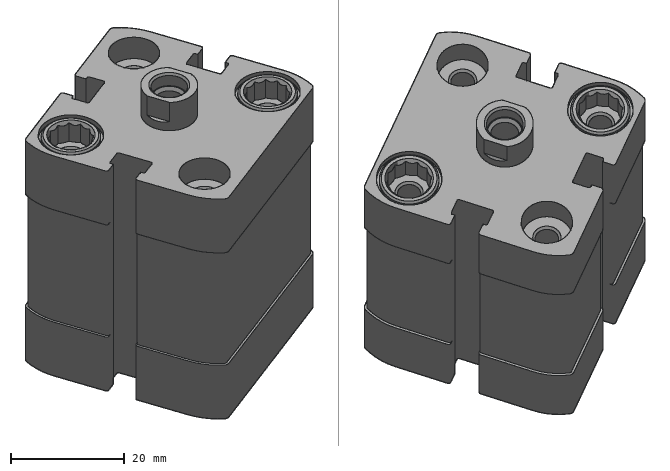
import cadquery as cq
import math

HOUSING_WIDTH = 39.5
HOUSING_HEIGHT = 49.0
HALF_WIDTH = HOUSING_WIDTH / 2
CAP_HEIGHT = 12.0
BARREL_INSET = 0.45
BARREL_HEIGHT = HOUSING_HEIGHT - 2 * CAP_HEIGHT
BORE_OFFSET = 13.0
CORNER_ARC_RADIUS = 12.5
CORNER_ARC_CENTRE_Y = HALF_WIDTH - CORNER_ARC_RADIUS
CORNER_BLEND_RADIUS = 1.0

SLOT_MOUTH_HALF_WIDTH = 2.65
SLOT_INNER_HALF_WIDTH = 3.45
SLOT_LIP_DEPTH = 2.3
SLOT_DEPTH = 5.7
SLOT_MOUTH_RADIUS = 0.5
SLOT_INNER_RADIUS = 0.35

THREAD_CORE_DIAMETER = 4.15
THREAD_MOUTH_DIAMETER = 5.0
COUNTERBORE_DIAMETER = 9.0
COUNTERBORE_DEPTH = 4.75

COLLAR_RECESS_DIAMETER = 11.5
COLLAR_RECESS_DEPTH = 1.0
COLLAR_DIAMETER = 10.5
COLLAR_TOP_DIAMETER = 9.8
SOCKET_MOUTH_DIAMETER = 8.5
SOCKET_MOUTH_ANGLE = 70.0
SOCKET_GROOVE_DIAMETER = 7.95
SOCKET_INNER_DIAMETER = 7.5
SOCKET_TOOTH_FLAT = 0.65
SOCKET_LOBES = 12
SOCKET_DEPTH = 4.5

ROD_DIAMETER = 10.0
ROD_TOP = 55.3
ROD_BOTTOM = HOUSING_HEIGHT - CAP_HEIGHT
ROD_FLAT_WIDTH = 9.0
ROD_FLAT_HEIGHT = 4.25
ROD_FLAT_RUNOUT = 0.3
ROD_HOLE_MOUTH_DIAMETER = 7.2
ROD_COUNTERBORE_DIAMETER = 6.4
ROD_COUNTERBORE_DEPTH = 2.65
ROD_COUNTERSINK_DIAMETER = 6.1
ROD_DRILL_DIAMETER = 4.9
ROD_DRILL_DEPTH = 9.95
DRILL_TIP_ANGLE = 118.0


def cone_drop(large_diameter, small_diameter, included_angle=90.0):
    """Axial length of a cone between two diameters."""
    return (large_diameter - small_diameter) / 2 / math.tan(math.radians(included_angle / 2))


def cylinder(diameter, bottom_z, top_z):
    """Upright cylinder on the Z axis."""
    return cq.Workplane("XY").workplane(offset=bottom_z).circle(diameter / 2).extrude(top_z - bottom_z)


def turned(profile):
    """Solid of revolution about Z from (radius, z) points."""
    return cq.Workplane("XZ").polyline(profile).close().revolve(360, (0, 0, 0), (0, 1, 0))


def section_block(inset, height):
    """Square prism whose corners are large arcs blended into the X faces."""
    half = HALF_WIDTH - inset
    radius = CORNER_ARC_RADIUS - inset
    end_angle = math.acos((half - BORE_OFFSET) / radius)
    mid_angle = (end_angle + math.pi / 2) / 2
    arc_end_y = CORNER_ARC_CENTRE_Y + radius * math.sin(end_angle)
    arc_mid_x = BORE_OFFSET + radius * math.cos(mid_angle)
    arc_mid_y = CORNER_ARC_CENTRE_Y + radius * math.sin(mid_angle)
    block = (
        cq.Workplane("XY")
        .moveTo(-BORE_OFFSET, half)
        .lineTo(BORE_OFFSET, half)
        .threePointArc((arc_mid_x, arc_mid_y), (half, arc_end_y))
        .lineTo(half, -arc_end_y)
        .threePointArc((arc_mid_x, -arc_mid_y), (BORE_OFFSET, -half))
        .lineTo(-BORE_OFFSET, -half)
        .threePointArc((-arc_mid_x, -arc_mid_y), (-half, -arc_end_y))
        .lineTo(-half, arc_end_y)
        .threePointArc((-arc_mid_x, arc_mid_y), (-BORE_OFFSET, half))
        .close()
        .extrude(height)
    )
    return block.edges("|Z").edges("<X or >X").fillet(CORNER_BLEND_RADIUS - inset)


def slot_cutter(inset, height):
    """T-slot opening toward -Y, with a rounded mouth at the section's own face."""
    face = -HALF_WIDTH + inset
    lip = -HALF_WIDTH + SLOT_LIP_DEPTH
    floor = -HALF_WIDTH + SLOT_DEPTH
    mouth = SLOT_MOUTH_HALF_WIDTH
    inner = SLOT_INNER_HALF_WIDTH
    round_mid = SLOT_MOUTH_RADIUS * (1 - math.sqrt(0.5))
    cutter = (
        cq.Workplane("XY")
        .moveTo(-mouth - SLOT_MOUTH_RADIUS, face)
        .threePointArc((-mouth - round_mid, face + round_mid), (-mouth, face + SLOT_MOUTH_RADIUS))
        .lineTo(-mouth, lip)
        .lineTo(-inner, lip)
        .lineTo(-inner, floor)
        .lineTo(inner, floor)
        .lineTo(inner, lip)
        .lineTo(mouth, lip)
        .lineTo(mouth, face + SLOT_MOUTH_RADIUS)
        .threePointArc((mouth + round_mid, face + round_mid), (mouth + SLOT_MOUTH_RADIUS, face))
        .close()
        .extrude(height)
    )
    return cutter.edges("|Z").edges("<X or >X").fillet(SLOT_INNER_RADIUS)


def housing_section(base_z, inset, height):
    """One length of the housing, slotted on the -X, -Y and +Y faces."""
    section = section_block(inset, height)
    slot = slot_cutter(inset, height)
    for turn in (-90, 0, 180):
        section = section.cut(slot.rotate((0, 0, 0), (0, 0, 1), turn))
    return section.translate((0, 0, base_z))


def threaded_bore(floor_z):
    """Through bore with a chamfered mouth in a floor at floor_z."""
    core = THREAD_CORE_DIAMETER / 2
    mouth = THREAD_MOUTH_DIAMETER / 2
    chamfer_z = floor_z - cone_drop(THREAD_MOUTH_DIAMETER, THREAD_CORE_DIAMETER)
    return turned([(0, 0), (core, 0), (core, chamfer_z), (mouth, floor_z), (0, floor_z)])


def counterbored_hole():
    """Wide plain counterbore above a threaded bore."""
    floor_z = HOUSING_HEIGHT - COUNTERBORE_DEPTH
    counterbore = cylinder(COUNTERBORE_DIAMETER, floor_z, HOUSING_HEIGHT)
    return counterbore.union(threaded_bore(floor_z))


def collar_gap():
    """Ring-shaped recess that leaves a chamfered collar standing inside it."""
    top = HOUSING_HEIGHT
    bottom = top - COLLAR_RECESS_DEPTH
    chamfer_z = top - cone_drop(COLLAR_DIAMETER, COLLAR_TOP_DIAMETER)
    return turned([
        (COLLAR_TOP_DIAMETER / 2, top),
        (COLLAR_DIAMETER / 2, chamfer_z),
        (COLLAR_DIAMETER / 2, bottom),
        (COLLAR_RECESS_DIAMETER / 2, bottom),
        (COLLAR_RECESS_DIAMETER / 2, top),
    ])


def lobed_socket():
    """Socket with V-grooves between flat-topped teeth and a conical mouth."""
    groove_radius = SOCKET_GROOVE_DIAMETER / 2
    tooth_radius = SOCKET_INNER_DIAMETER / 2
    flat_half_angle = math.asin(SOCKET_TOOTH_FLAT / SOCKET_INNER_DIAMETER)
    pitch = 2 * math.pi / SOCKET_LOBES
    outline = []
    for lobe in range(SOCKET_LOBES):
        groove_angle = lobe * pitch
        tooth_angle = groove_angle + pitch / 2
        for radius, angle in (
            (groove_radius, groove_angle),
            (tooth_radius, tooth_angle - flat_half_angle),
            (tooth_radius, tooth_angle + flat_half_angle),
        ):
            outline.append((radius * math.cos(angle), radius * math.sin(angle)))
    top = HOUSING_HEIGHT
    floor_z = top - SOCKET_DEPTH
    socket = cq.Workplane("XY").workplane(offset=floor_z).polyline(outline).close().extrude(SOCKET_DEPTH)
    cone_tip_z = top - cone_drop(SOCKET_MOUTH_DIAMETER, 0, SOCKET_MOUTH_ANGLE)
    mouth_cone = turned([(0, top), (SOCKET_MOUTH_DIAMETER / 2, top), (0, cone_tip_z)])
    return socket.union(mouth_cone).union(threaded_bore(floor_z))


def make_housing():
    """Two caps and the barrel as one solid, with its corner bores and the rod bore."""
    body = housing_section(0, 0, CAP_HEIGHT)
    body = body.union(housing_section(CAP_HEIGHT, BARREL_INSET, BARREL_HEIGHT))
    body = body.union(housing_section(CAP_HEIGHT + BARREL_HEIGHT, 0, CAP_HEIGHT))
    for side in (-1, 1):
        collar_place = (side * BORE_OFFSET, side * BORE_OFFSET, 0)
        counterbore_place = (side * BORE_OFFSET, -side * BORE_OFFSET, 0)
        body = body.cut(collar_gap().translate(collar_place))
        body = body.cut(lobed_socket().translate(collar_place))
        body = body.cut(counterbored_hole().translate(counterbore_place))
    return body.cut(cylinder(ROD_DIAMETER, ROD_BOTTOM, HOUSING_HEIGHT))


def rod_hole():
    """Chamfered counterbore leading into a drilled hole with a pointed end."""
    mouth = ROD_HOLE_MOUTH_DIAMETER / 2
    counterbore = ROD_COUNTERBORE_DIAMETER / 2
    countersink = ROD_COUNTERSINK_DIAMETER / 2
    drill = ROD_DRILL_DIAMETER / 2
    chamfer_z = ROD_TOP - cone_drop(ROD_HOLE_MOUTH_DIAMETER, ROD_COUNTERBORE_DIAMETER)
    shoulder_z = ROD_TOP - ROD_COUNTERBORE_DEPTH
    drill_start_z = shoulder_z - cone_drop(ROD_COUNTERSINK_DIAMETER, ROD_DRILL_DIAMETER)
    drill_end_z = ROD_TOP - ROD_DRILL_DEPTH
    tip_z = drill_end_z - cone_drop(ROD_DRILL_DIAMETER, 0, DRILL_TIP_ANGLE)
    return turned([
        (0, ROD_TOP),
        (mouth, ROD_TOP),
        (counterbore, chamfer_z),
        (counterbore, shoulder_z),
        (countersink, shoulder_z),
        (drill, drill_start_z),
        (drill, drill_end_z),
        (0, tip_z),
    ])


def wrench_flat():
    """Cutter for the flat on the -Y side, with a sloping lower end."""
    flat_y = -ROD_FLAT_WIDTH / 2
    rim_y = -ROD_DIAMETER / 2
    flat_end_z = ROD_TOP - ROD_FLAT_HEIGHT
    return (
        cq.Workplane("YZ")
        .moveTo(flat_y, ROD_TOP)
        .lineTo(flat_y, flat_end_z)
        .lineTo(rim_y, flat_end_z - ROD_FLAT_RUNOUT)
        .lineTo(rim_y, ROD_TOP)
        .close()
        .extrude(ROD_DIAMETER / 2, both=True)
    )


def make_piston_rod():
    """Round rod with two wrench flats and a drilled end."""
    rod = cylinder(ROD_DIAMETER, ROD_BOTTOM, ROD_TOP)
    flat = wrench_flat()
    return rod.cut(flat).cut(flat.mirror("XZ")).cut(rod_hole())


housing = make_housing()
piston_rod = make_piston_rod()

result = cq.Compound.makeCompound([housing.val(), piston_rod.val()])